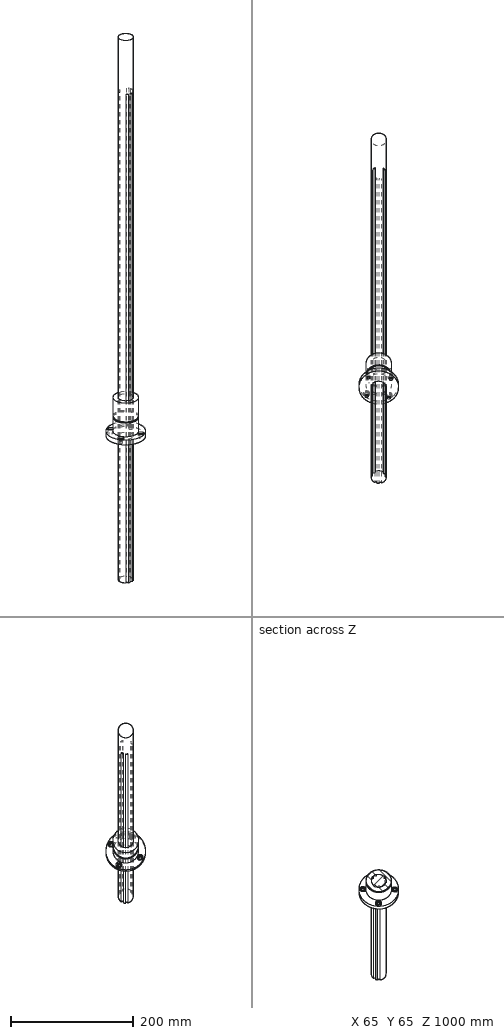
import cadquery as cq
import math

SHAFT_LENGTH = 1000.0
SHAFT_DIAMETER = 25.0
SPLINED_LENGTH = 900.0
RIDGE_ANGLES = (90, 210, 330)
GROOVE_OFFSET_ANGLE = 17
BALL_DIAMETER = 4.0

NUT_BOTTOM = 265.0
NUT_LENGTH = 71.0
NUT_DIAMETER = 42.0
FLANGE_DIAMETER = 65.0
FLANGE_THICKNESS = 9.0

BOLT_COUNT = 4
BOLT_CIRCLE_DIAMETER = 52.0
FIRST_BOLT_ANGLE = 15
BOLT_DIAMETER = 5.5
COUNTERBORE_DIAMETER = 9.5
COUNTERBORE_DEPTH = 3.0

OIL_OFFSET = 35.0
OIL_HEIGHT = NUT_BOTTOM + OIL_OFFSET
OIL_GROOVE_WIDTH = 2.0
OIL_GROOVE_DEPTH = 1.0
OIL_HOLE_DIAMETER = 1.5


def cylinder(diameter, bottom, height):
    return cq.Workplane("XY").workplane(offset=bottom).circle(diameter / 2).extrude(height)


def polar_points(radius, angles):
    return [
        (radius * math.cos(math.radians(angle)), radius * math.sin(math.radians(angle)))
        for angle in angles
    ]


def make_shaft():
    groove_angles = [
        ridge + side * GROOVE_OFFSET_ANGLE
        for ridge in RIDGE_ANGLES
        for side in (-1, 1)
    ]
    grooves = (
        cq.Workplane("XY")
        .pushPoints(polar_points(SHAFT_DIAMETER / 2, groove_angles))
        .circle(BALL_DIAMETER / 2)
        .extrude(SPLINED_LENGTH)
    )
    shaft = cylinder(SHAFT_DIAMETER, 0, SHAFT_LENGTH)
    return shaft.cut(grooves)


def make_bolt_holes():
    angles = [FIRST_BOLT_ANGLE + i * 360 / BOLT_COUNT for i in range(BOLT_COUNT)]
    centers = polar_points(BOLT_CIRCLE_DIAMETER / 2, angles)
    through_holes = (
        cq.Workplane("XY")
        .workplane(offset=NUT_BOTTOM)
        .pushPoints(centers)
        .circle(BOLT_DIAMETER / 2)
        .extrude(FLANGE_THICKNESS)
    )
    counterbores = (
        cq.Workplane("XY")
        .workplane(offset=NUT_BOTTOM + FLANGE_THICKNESS - COUNTERBORE_DEPTH)
        .pushPoints(centers)
        .circle(COUNTERBORE_DIAMETER / 2)
        .extrude(COUNTERBORE_DEPTH)
    )
    return through_holes.union(counterbores)


def make_oil_groove():
    bottom = OIL_HEIGHT - OIL_GROOVE_WIDTH / 2
    floor_diameter = NUT_DIAMETER - 2 * OIL_GROOVE_DEPTH
    outer = cylinder(FLANGE_DIAMETER, bottom, OIL_GROOVE_WIDTH)
    return outer.cut(cylinder(floor_diameter, bottom, OIL_GROOVE_WIDTH))


def make_oil_hole():
    """Radial hole from the -X side of the nut to its bore."""
    return (
        cq.Workplane("YZ")
        .center(0, OIL_HEIGHT)
        .circle(OIL_HOLE_DIAMETER / 2)
        .extrude(-NUT_DIAMETER / 2)
    )


def make_nut():
    sleeve = cylinder(NUT_DIAMETER, NUT_BOTTOM, NUT_LENGTH)
    flange = cylinder(FLANGE_DIAMETER, NUT_BOTTOM, FLANGE_THICKNESS)
    bore = cylinder(SHAFT_DIAMETER, NUT_BOTTOM, NUT_LENGTH)
    nut = sleeve.union(flange).cut(bore).cut(make_bolt_holes())
    return nut.cut(make_oil_groove()).cut(make_oil_hole())


shaft = make_shaft()
nut = make_nut()
result = cq.Compound.makeCompound([shaft.val(), nut.val()])